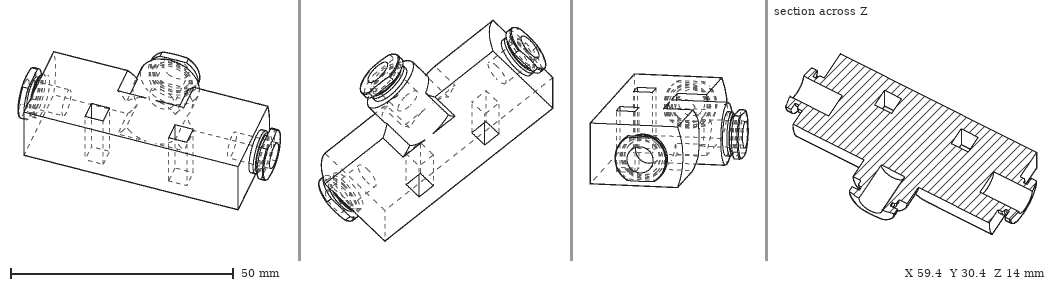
import cadquery as cq
import math

body_length = 51.0
body_height = 14.0
body_edge_depth = 20.0
body_crown_depth = 21.25

boss_diameter = 14.2
boss_end_y = 26.2
boss_taper_length = 0.3
boss_taper_depth = 0.1

relief_floor_y = 13.3
relief_width = 15.75
relief_wall_radius = 10.0

mount_hole_size = 4.3
mount_hole_pitch = 19.9
mount_hole_y = 5.45

port_axis_y = 12.25
collar_diameter = 10.0
collar_length = 1.4
collar_chamfer = 0.4
neck_diameter = 8.1
flange_diameter = 11.8
flange_start = 2.25
flange_rim_end = 3.5
flange_rim_bevel = 0.15
flange_bevel_end = 3.75
flange_across_flats = 10.0
fitting_length = 4.2
tip_face_diameter = 7.2
bore_diameter = 6.0
bore_depth = 10.0

half_height = body_height / 2
boss_radius = boss_diameter / 2
flange_radius = flange_diameter / 2


def make_body():
    """Block with a slightly crowned rear face."""
    return (
        cq.Workplane("YZ")
        .moveTo(0, -half_height)
        .lineTo(body_edge_depth, -half_height)
        .threePointArc((body_crown_depth, 0), (body_edge_depth, half_height))
        .lineTo(0, half_height)
        .close()
        .extrude(body_length / 2, both=True)
    )


def make_relief():
    """Slot around the boss root whose side walls bulge toward the boss at mid height."""
    half_width = relief_width / 2
    wall_center_x = half_width + math.sqrt(relief_wall_radius**2 - half_height**2)
    waist = wall_center_x - relief_wall_radius
    length = body_crown_depth - relief_floor_y
    return (
        cq.Workplane("XZ", origin=(0, body_crown_depth, 0))
        .moveTo(-half_width, -half_height)
        .lineTo(half_width, -half_height)
        .threePointArc((waist, 0), (half_width, half_height))
        .lineTo(-half_width, half_height)
        .threePointArc((-waist, 0), (-half_width, -half_height))
        .close()
        .extrude(length)
    )


def make_boss():
    """Round boss with a slightly tapered end, trimmed flat at the body height."""
    taper_start_y = boss_end_y - boss_taper_length
    boss = (
        cq.Workplane("XY")
        .moveTo(0, relief_floor_y)
        .lineTo(boss_radius, relief_floor_y)
        .lineTo(boss_radius, taper_start_y)
        .lineTo(boss_radius - boss_taper_depth, boss_end_y)
        .lineTo(0, boss_end_y)
        .close()
        .revolve(360, (0, 0, 0), (0, 1, 0))
    )
    height_limit = cq.Workplane("XY").box(boss_diameter, 2 * boss_end_y, body_height)
    return boss.intersect(height_limit)


def make_mount_holes():
    """Square holes through the full body height."""
    half_pitch = mount_hole_pitch / 2
    return (
        cq.Workplane("XY")
        .pushPoints([(-half_pitch, mount_hole_y), (half_pitch, mount_hole_y)])
        .rect(mount_hole_size, mount_hole_size)
        .extrude(half_height, both=True)
    )


def make_fitting():
    """Collar, neck and flange with two flats, pointing along +Y from the origin."""
    collar_radius = collar_diameter / 2
    neck_radius = neck_diameter / 2
    collar = (
        cq.Workplane("XZ")
        .circle(collar_radius)
        .extrude(-collar_length)
        .faces(">Y")
        .chamfer(collar_chamfer)
    )
    neck = cq.Workplane("XZ").circle(neck_radius).extrude(-flange_start)
    flange = (
        cq.Workplane("XY")
        .moveTo(0, flange_start)
        .lineTo(flange_radius, flange_start)
        .lineTo(flange_radius, flange_rim_end)
        .lineTo(flange_radius - flange_rim_bevel, flange_bevel_end)
        .lineTo(tip_face_diameter / 2, fitting_length)
        .lineTo(0, fitting_length)
        .close()
        .revolve(360, (0, 0, 0), (0, 1, 0))
    )
    flats = cq.Workplane("XY").box(flange_diameter, 2 * fitting_length, flange_across_flats)
    return collar.union(neck).union(flange.intersect(flats))


def make_bore():
    """Blind tube bore entering a fitting made by make_fitting."""
    return cq.Workplane("XZ", origin=(0, fitting_length, 0)).circle(bore_diameter / 2).extrude(bore_depth)


def place(shape, turn, position):
    """Turn a +Y pointing shape about Z and move it to its port."""
    return shape.rotate((0, 0, 0), (0, 0, 1), turn).translate(position)


ports = [
    (90, (-body_length / 2, port_axis_y, 0)),
    (-90, (body_length / 2, port_axis_y, 0)),
    (0, (0, boss_end_y, 0)),
]

result = make_body().cut(make_relief()).union(make_boss()).cut(make_mount_holes())
for turn, position in ports:
    result = result.union(place(make_fitting(), turn, position))
    result = result.cut(place(make_bore(), turn, position))